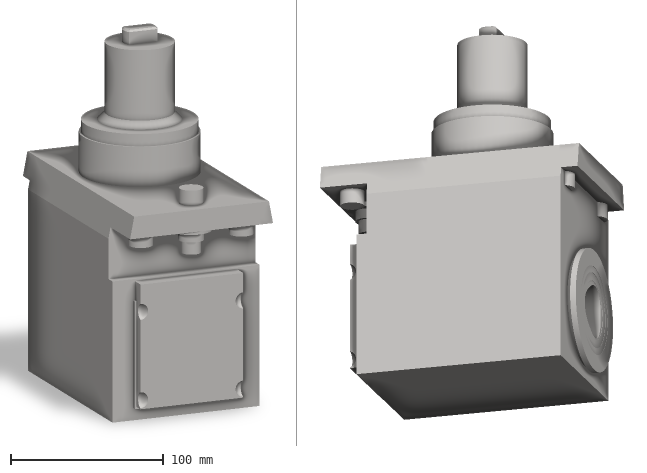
import cadquery as cq
import math

body_width = 105.0
body_left = -63.2
body_right = 76.9
neck_right = 70.0
shoulder_z = 96.0
plate_left = -74.5
plate_right = 102.5
plate_top_width = 96.1
plate_top = 146.0
taper_start = 123.2
plate_left_underside = 129.3
plate_right_underside = 130.8

collar_diameter = 80.0
collar_top = 173.2
ring_diameter = 77.0
ring_top = 181.5
cone_base_diameter = 56.0
cone_top = 186.5
shank_diameter = 46.0
shank_top = 234.2
tang_width = 12.0
tang_length = 23.5
tang_top = 244.0
tang_chamfer = 1.2

bolt_diameter = 16.0
bolt_pitch = 71.7
left_bolt_x = -59.5
left_bolt_bottom = 119.5
right_bolt_x = 85.0
pin_x = 85.2
pin_top = 156.2
pin_washer_diameter = 27.5
pin_washer_bottom = 127.5
pin_sleeve_diameter = 17.0
pin_sleeve_bottom = 121.0
pin_tip_diameter = 13.0
pin_tip_bottom = 112.2

socket_z = 45.9
socket_disk_diameter = 82.0
socket_neck_diameter = 75.0
socket_face = -70.0
socket_disk_back = -66.1
face_step_diameters = (59.0, 50.0, 39.3)
face_step_depth = 0.2
bore_mean_radius = 17.3
bore_lobe = 1.5
bore_depth = 36.5
bore_shrink = 0.7
bore_points = 36

cover_right = 86.4
cover_width = 73.2
cover_bottom = 9.8
cover_top = 94.5
rim_right = 79.8
rim_width = 75.6
rim_bottom = 8.3
rim_top = 81.5
scallop_radius = 5.5
scallop_offset = 1.5
scallop_heights = (15.9, 76.0)


def box(x_range, width, z_range):
    """Box centred on Y = 0 between the given X and Z limits."""
    length = x_range[1] - x_range[0]
    height = z_range[1] - z_range[0]
    block = cq.Workplane("XY").box(length, width, height, centered=(False, True, False))
    return block.translate((x_range[0], 0, z_range[0]))


def upright(diameter, x, y, bottom, top):
    """Vertical cylinder."""
    disk = cq.Workplane("XY", origin=(x, y, bottom)).circle(diameter / 2)
    return disk.extrude(top - bottom)


def socket_disk(diameter, start_x, end_x):
    """Cylinder along X on the socket axis."""
    disk = cq.Workplane("YZ", origin=(start_x, 0, socket_z)).circle(diameter / 2)
    return disk.extrude(end_x - start_x)


def make_housing():
    """Stepped side outline, cut to the tapered end outline."""
    side = (
        cq.Workplane("XZ")
        .polyline([
            (body_left, 0),
            (body_right, 0),
            (body_right, shoulder_z),
            (neck_right, shoulder_z),
            (neck_right, plate_right_underside),
            (plate_right, plate_right_underside),
            (plate_right, plate_top),
            (plate_left, plate_top),
            (plate_left, plate_left_underside),
            (body_left, plate_left_underside),
        ])
        .close()
        .extrude(body_width / 2, both=True)
    )
    end = (
        cq.Workplane("YZ", origin=(plate_left, 0, 0))
        .polyline([
            (-body_width / 2, 0),
            (body_width / 2, 0),
            (body_width / 2, taper_start),
            (plate_top_width / 2, plate_top),
            (-plate_top_width / 2, plate_top),
            (-body_width / 2, taper_start),
        ])
        .close()
        .extrude(plate_right - plate_left)
    )
    return side.intersect(end)


def make_spindle():
    """Turned spindle with a round-ended driving tang."""
    turned = (
        cq.Workplane("XZ")
        .polyline([
            (0, taper_start),
            (collar_diameter / 2, taper_start),
            (collar_diameter / 2, collar_top),
            (ring_diameter / 2, collar_top),
            (ring_diameter / 2, ring_top),
            (cone_base_diameter / 2, ring_top),
            (shank_diameter / 2, cone_top),
            (shank_diameter / 2, shank_top),
            (0, shank_top),
        ])
        .close()
        .revolve(360, (0, 0), (0, 1))
    )
    tang = upright(tang_length, 0, 0, shank_top, tang_top)
    tang = tang.intersect(box((-tang_width / 2, tang_width / 2), tang_length, (shank_top, tang_top)))
    return turned.union(tang.faces(">Z").chamfer(tang_chamfer))


def make_fasteners():
    """Bolts below both ends of the plate and a stepped pin through it."""
    pin = upright(bolt_diameter, pin_x, 0, plate_right_underside, pin_top)
    for diameter, bottom in (
        (pin_washer_diameter, pin_washer_bottom),
        (pin_sleeve_diameter, pin_sleeve_bottom),
        (pin_tip_diameter, pin_tip_bottom),
    ):
        pin = pin.union(upright(diameter, pin_x, 0, bottom, plate_top))
    for y in (-bolt_pitch / 2, bolt_pitch / 2):
        pin = pin.union(upright(bolt_diameter, left_bolt_x, y, left_bolt_bottom, plate_left_underside))
        pin = pin.union(upright(bolt_diameter, right_bolt_x, y, pin_sleeve_bottom, plate_top))
    return pin


def lobed_outline(mean_radius):
    """Points of a three-lobed curve with one lobe pointing to +Y."""
    points = []
    for i in range(bore_points):
        angle = 2 * math.pi * i / bore_points
        radius = mean_radius + bore_lobe * math.cos(3 * angle)
        points.append((radius * math.cos(angle), radius * math.sin(angle)))
    return points


def make_bore():
    """Tapered three-lobed bore behind shallow concentric steps."""
    bore = (
        cq.Workplane("YZ", origin=(socket_face, 0, socket_z))
        .spline(lobed_outline(bore_mean_radius), periodic=True)
        .close()
        .workplane(offset=bore_depth)
        .spline(lobed_outline(bore_mean_radius - bore_shrink), periodic=True)
        .close()
        .loft(ruled=True)
    )
    for level, diameter in enumerate(face_step_diameters, start=1):
        bore = bore.union(socket_disk(diameter, socket_face, socket_face + level * face_step_depth))
    return bore


def make_cover():
    """Raised cover with a low rim and a screw scallop near each corner."""
    cover = box((body_right, cover_right), cover_width, (cover_bottom, cover_top))
    cover = cover.union(box((body_right, rim_right), rim_width, (rim_bottom, rim_top)))
    for y in (-cover_width / 2, cover_width / 2):
        for z in scallop_heights:
            scallop = cq.Workplane("XY").sphere(scallop_radius)
            cover = cover.cut(scallop.translate((cover_right + scallop_offset, y, z)))
    return cover


result = (
    make_housing()
    .union(make_spindle())
    .union(make_fasteners())
    .union(socket_disk(socket_disk_diameter, socket_face, socket_disk_back))
    .union(socket_disk(socket_neck_diameter, socket_disk_back, body_left))
    .union(make_cover())
    .cut(make_bore())
)